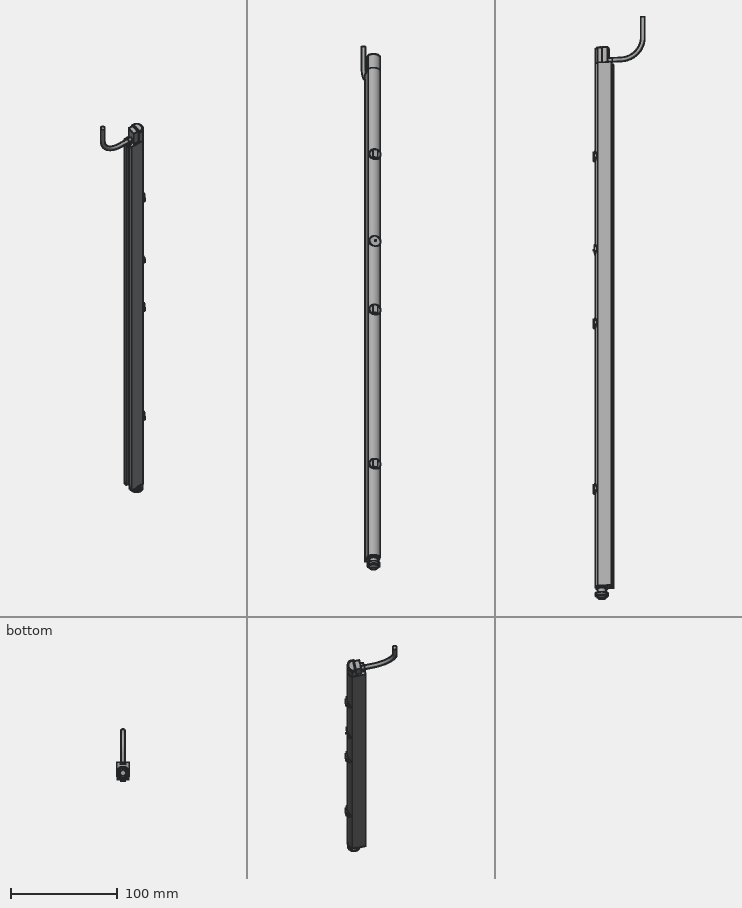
import cadquery as cq
import math

width = 12.0
depth = 16.5
crown_height = 3.5
housing_bottom = 11.5
housing_top = 521.0
slot_width = 5.0
slot_depth = 2.0
back_y = depth / 2
front_y = -depth / 2
shoulder_y = back_y - crown_height

cap_top = 536.0
cap_chamfer = 1.0
cap_inset = 0.1
cap_depth = 12.5
cap_wide_depth = 7.5
cap_step_y = back_y - cap_wide_depth
cap_narrow_width = 8.5
cap_front_y = back_y - cap_depth

foot_y = back_y - cap_depth / 2
collar_diameter = 11.0
collar_height = 1.5
neck_diameter = 8.0
flange_diameter = width
flange_top = 5.0
flange_bottom = 3.0
tip_diameter = 9.0
tip_chamfer = 1.5

seat_diameter = 11.0
stud_projection = 1.5
block_heights = [106.5, 268.0, 430.5]
block_width = 4.5
block_length = 8.0
pin_z = 339.5
pin_diameter = 1.0

screw_z = 514.5
screw_diameter = 4.5
screw_height = 1.0

cable_diameter = 4.0
cable_z = 524.0
cable_top = 564.0
bend_radius = 20.5
overall_depth = 49.0
cable_end_y = back_y + stud_projection - overall_depth + cable_diameter / 2


def crowned_outline(z, flat_front_y, inset):
    """Closed outline at height z: crowned at the back, flat at the front.

    The inset pulls the sides and the crown in from the full housing outline.
    """
    half = width / 2 - inset
    crown_y = back_y - inset
    return (
        cq.Workplane("XY", origin=(0, 0, z))
        .moveTo(-half, flat_front_y)
        .lineTo(half, flat_front_y)
        .lineTo(half, shoulder_y - inset)
        .threePointArc((0, crown_y), (-half, shoulder_y - inset))
        .close()
    )


def disc(diameter, bottom, top):
    """Upright cylinder on the foot axis."""
    return cq.Workplane("XY", origin=(0, foot_y, bottom)).circle(diameter / 2).extrude(top - bottom)


def back_sketch(z):
    """Workplane in the middle of the housing at height z; extrude by a negative length toward +Y."""
    return cq.Workplane("XZ", origin=(0, 0, z))


def make_profile():
    """Long crowned bar with a slot along its front."""
    bar = crowned_outline(housing_bottom, front_y, 0).extrude(housing_top - housing_bottom)
    slot = cq.Workplane("XY").box(slot_width, 2 * slot_depth, 2 * housing_top).translate((0, front_y, 0))
    return bar.cut(slot)


def make_cap():
    """End cap: wide crowned back, narrower front and the boss that carries the cable."""
    cap_height = cap_top - housing_top
    cap_back = crowned_outline(housing_top, cap_step_y, cap_inset).extrude(cap_height)
    cap_back = cap_back.faces(">Z").chamfer(cap_chamfer)
    narrow_depth = cap_step_y - cap_front_y
    cap_front = (
        cq.Workplane("XY", origin=(0, cap_front_y + narrow_depth / 2, housing_top))
        .rect(cap_narrow_width, narrow_depth)
        .extrude(cap_height)
    )
    cable_boss = (
        cq.Workplane("XZ", origin=(0, cap_step_y, cable_z))
        .circle(cable_diameter / 2)
        .extrude(cap_step_y - front_y)
    )
    return cap_back.union(cap_front).union(cable_boss)


def make_foot():
    """Collar, neck, flange and chamfered tip, from top to bottom."""
    collar_bottom = housing_bottom - collar_height
    collar = disc(collar_diameter, collar_bottom, housing_bottom)
    neck = disc(neck_diameter, flange_top, collar_bottom)
    flange = disc(flange_diameter, flange_bottom, flange_top)
    tip = disc(tip_diameter, 0, flange_bottom).faces("<Z").chamfer(tip_chamfer)
    return collar.union(neck).union(flange).union(tip)


def add_back_studs(body):
    """Add the round seats, the blocks and the pin on the crowned back."""
    stud_reach = back_y + stud_projection
    for z in [*block_heights, pin_z]:
        body = body.union(back_sketch(z).circle(seat_diameter / 2).extrude(-back_y))
    for z in block_heights:
        body = body.union(back_sketch(z).rect(block_width, block_length).extrude(-stud_reach))
    return body.union(back_sketch(pin_z).circle(pin_diameter / 2).extrude(-stud_reach))


def make_screw_head():
    """Low round head standing on the floor of the front slot."""
    return (
        cq.Workplane("XZ", origin=(0, front_y + slot_depth, screw_z))
        .circle(screw_diameter / 2)
        .extrude(screw_height)
    )


def make_housing():
    body = make_profile().union(make_cap()).union(make_foot())
    body = add_back_studs(body)
    return body.union(make_screw_head())


def make_cable():
    """Round cable swept from the cap boss toward -Y and then up."""
    bend_start_y = cable_end_y + bend_radius
    bend_end_z = cable_z + bend_radius
    diagonal = bend_radius * math.sqrt(0.5)
    path = (
        cq.Workplane("YZ")
        .moveTo(front_y, cable_z)
        .lineTo(bend_start_y, cable_z)
        .threePointArc(
            (bend_start_y - diagonal, bend_end_z - diagonal),
            (cable_end_y, bend_end_z),
        )
        .lineTo(cable_end_y, cable_top)
    )
    start = cq.Workplane("XZ", origin=(0, front_y, cable_z)).circle(cable_diameter / 2)
    return start.sweep(path)


housing = make_housing()
cable = make_cable()
result = cq.Compound.makeCompound([housing.val(), cable.val()])